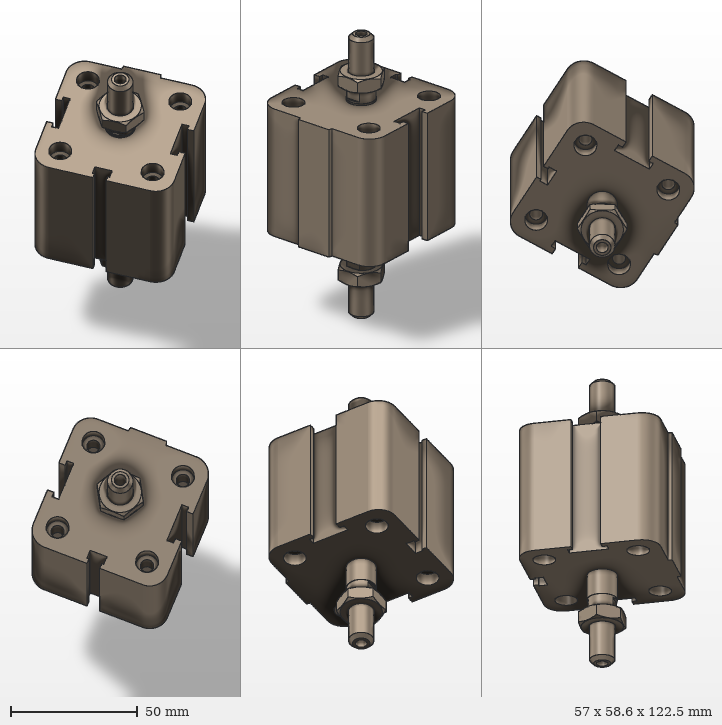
import cadquery as cq
import math

HOUSING_WIDTH = 57.0
HOUSING_HEIGHT = 55.5
CORNER_RADIUS = 7.6
RIB_HEIGHT = 1.6
RIB_BASE_WIDTH = 16.0
RIB_TOP_WIDTH = 15.3

SIDE_SLOT_MOUTH = 12.0
SIDE_SLOT_WIDTH = 15.9
SIDE_SLOT_LIP = 2.7
SIDE_SLOT_DEPTH = 5.5
FRONT_SLOT_MOUTH = 5.4
FRONT_SLOT_WIDTH = 7.1
FRONT_SLOT_LIP = 2.1
FRONT_SLOT_DEPTH = 5.5

MOUNT_SPACING = 38.0
COUNTERBORE_DIAMETER = 9.0
COUNTERBORE_DEPTH = 4.5
MOUNT_HOLE_DIAMETER = 5.1
MOUNT_HOLE_DEPTH = 12.0

ROD_LENGTH = 122.5
UPPER_PROTRUSION = 28.5
SHAFT_DIAMETER = 12.0
NECK_DIAMETER = 11.8
STUD_DIAMETER = 10.0
STUD_LENGTH = 22.0
STUD_CHAMFER = 1.6
NECK_LENGTH = 5.8
FLAT_LENGTH = 5.0
FLAT_ACROSS = 10.0
BORE_DIAMETER = 4.5

NUT_ACROSS_FLATS = 17.0
NUT_THICKNESS = 6.0
NUT_FACE_DIAMETER = 16.7
NUT_BORE_DIAMETER = 10.5
NUT_CHAMFER_ANGLE = 30

HOUSING_TOP = HOUSING_HEIGHT / 2
ROD_TOP = HOUSING_TOP + UPPER_PROTRUSION
ROD_BOTTOM = ROD_TOP - ROD_LENGTH
UPPER_SHOULDER = ROD_TOP - STUD_LENGTH
LOWER_SHOULDER = ROD_BOTTOM + STUD_LENGTH


def slot_cutter(mouth, width, lip, depth):
    """T-slot running the full height, opening towards -Y from the housing face."""
    face = -HOUSING_WIDTH / 2
    opening = cq.Workplane("XY").box(mouth, lip, HOUSING_HEIGHT, centered=(True, False, True))
    channel = (
        cq.Workplane("XY")
        .box(width, depth - lip, HOUSING_HEIGHT, centered=(True, False, True))
        .translate((0, lip, 0))
    )
    return opening.union(channel).translate((0, face, 0))


def mounting_holes():
    """Counterbored blind holes at the four corners of both end faces."""
    holes = cq.Workplane("XY")
    for inward, face in ((-1.2, HOUSING_TOP), (1.2, -HOUSING_TOP)):
        for diameter, depth in (
            (COUNTERBORE_DIAMETER, COUNTERBORE_DEPTH),
            (MOUNT_HOLE_DIAMETER, MOUNT_HOLE_DEPTH),
        ):
            cutters = (
                cq.Workplane("XY", origin=(0, 0, face))
                .rect(MOUNT_SPACING, MOUNT_SPACING, forConstruction=True)
                .vertices()
                .circle(diameter / 2)
                .extrude(inward * depth)
            )
            holes = holes.add(cutters)
    return holes.combine()


def make_housing():
    body = (
        cq.Workplane("XY")
        .box(HOUSING_WIDTH, HOUSING_WIDTH, HOUSING_HEIGHT)
        .edges("|Z")
        .fillet(CORNER_RADIUS)
    )
    back = HOUSING_WIDTH / 2
    rib = (
        cq.Workplane("XY", origin=(0, 0, -HOUSING_TOP))
        .polyline([
            (-RIB_BASE_WIDTH / 2, back),
            (RIB_BASE_WIDTH / 2, back),
            (RIB_TOP_WIDTH / 2, back + RIB_HEIGHT),
            (-RIB_TOP_WIDTH / 2, back + RIB_HEIGHT),
        ])
        .close()
        .extrude(HOUSING_HEIGHT)
    )
    body = body.union(rib)

    front_slot = slot_cutter(FRONT_SLOT_MOUTH, FRONT_SLOT_WIDTH, FRONT_SLOT_LIP, FRONT_SLOT_DEPTH)
    side_slot = slot_cutter(SIDE_SLOT_MOUTH, SIDE_SLOT_WIDTH, SIDE_SLOT_LIP, SIDE_SLOT_DEPTH)
    body = body.cut(front_slot)
    for angle in (-90, 90):
        body = body.cut(side_slot.rotate((0, 0, 0), (0, 0, 1), angle))

    rod_passage = cq.Workplane("XY").circle(SHAFT_DIAMETER / 2).extrude(HOUSING_HEIGHT / 2, both=True)
    return body.cut(mounting_holes()).cut(rod_passage)


def rod_cylinder(diameter, bottom, top):
    return cq.Workplane("XY", origin=(0, 0, bottom)).circle(diameter / 2).extrude(top - bottom)


def neck_flats(bottom):
    """Material removed from the front and back of a neck to leave two flats."""
    sleeve = cq.Workplane("XY").box(SHAFT_DIAMETER, SHAFT_DIAMETER, FLAT_LENGTH)
    core = cq.Workplane("XY").box(SHAFT_DIAMETER, FLAT_ACROSS, FLAT_LENGTH)
    return sleeve.cut(core).translate((0, 0, bottom + FLAT_LENGTH / 2))


def make_rod():
    stud = rod_cylinder(STUD_DIAMETER, ROD_BOTTOM, ROD_TOP).faces("<Z or >Z").chamfer(STUD_CHAMFER)
    neck = rod_cylinder(NECK_DIAMETER, LOWER_SHOULDER, UPPER_SHOULDER)
    shaft = rod_cylinder(SHAFT_DIAMETER, LOWER_SHOULDER + NECK_LENGTH, UPPER_SHOULDER - NECK_LENGTH)
    rod = stud.union(neck).union(shaft)
    for flat_bottom in (LOWER_SHOULDER, UPPER_SHOULDER - FLAT_LENGTH):
        rod = rod.cut(neck_flats(flat_bottom))
    return rod.cut(rod_cylinder(BORE_DIAMETER, ROD_BOTTOM, ROD_TOP))


def make_nut(bottom):
    """Hexagon nut with flats facing front and back and both rims chamfered."""
    corner_radius = NUT_ACROSS_FLATS / math.sqrt(3)
    face_radius = NUT_FACE_DIAMETER / 2
    rim_drop = (corner_radius - face_radius) * math.tan(math.radians(NUT_CHAMFER_ANGLE))
    hexagon = cq.Workplane("XY").polygon(6, 2 * corner_radius).extrude(NUT_THICKNESS)
    rim_envelope = (
        cq.Workplane("XZ")
        .polyline([
            (0, 0),
            (face_radius, 0),
            (corner_radius, rim_drop),
            (corner_radius, NUT_THICKNESS - rim_drop),
            (face_radius, NUT_THICKNESS),
            (0, NUT_THICKNESS),
        ])
        .close()
        .revolve(360, (0, 0, 0), (0, 1, 0))
    )
    bore = cq.Workplane("XY").circle(NUT_BORE_DIAMETER / 2).extrude(NUT_THICKNESS)
    return hexagon.intersect(rim_envelope).cut(bore).translate((0, 0, bottom))


housing = make_housing()
rod = make_rod()
nuts = [make_nut(bottom) for bottom in (UPPER_SHOULDER, LOWER_SHOULDER - NUT_THICKNESS)]

result = cq.Compound.makeCompound([housing.val(), rod.val(), *[nut.val() for nut in nuts]])